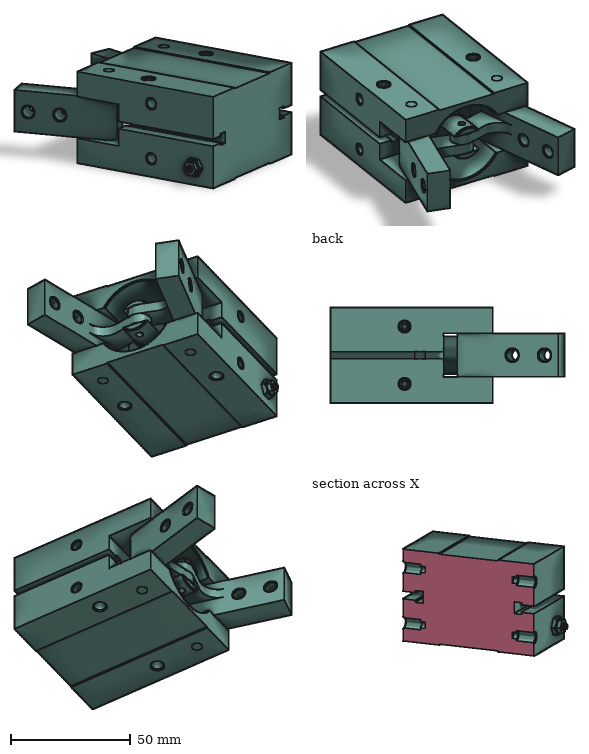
import cadquery as cq
import math


body_length = 68.0
body_width = 60.0
body_height = 40.0
top_z = body_height / 2
side_y = body_width / 2

band_depth = 0.4
band_floor_half_width = 13.2
band_rim_half_width = 13.5

finger_slot_depth = 20.7
front_bore_radius = 17.15
front_bore_chamfer = 0.5
side_groove_height = 3.1
side_groove_depth = 9.1
side_groove_lip_depth = 5.8
side_groove_inner_height = 4.9

mount_hole_x = 30.5
mount_hole_y = 22.0
mount_hole_diameter = 5.0
mount_hole_rim_diameter = 6.0
side_hole_x = 37.0
side_hole_z = 12.0
side_hole_diameter = 4.2
side_hole_rim_diameter = 5.2
side_hole_depth = 8.0
side_hole_tip_diameter = 2.5
side_hole_tip_depth = 2.0

fitting_x = 58.75
fitting_z = -12.0
base_hex_flats = 7.2
base_hex_height = 1.95
base_hex_chamfer = 0.6
upper_hex_flats = 5.4
upper_hex_height = 1.85
collar_diameter = 3.0
collar_thickness = 0.35
nipple_neck_diameter = 1.9
nipple_neck_length = 0.4
nipple_head_diameter = 2.6
nipple_tip_diameter = 2.0
nipple_head_length = 0.7
nipple_hole_diameter = 0.8

finger_angle = 15.0
finger_height = 18.2
finger_thickness = 10.0
pivot_x = 10.0
pivot_y = 21.0
pivot_pin_diameter = 4.4
pivot_to_tip = 40.0
finger_hole_tip_distances = (6.0, 20.0)
finger_hole_diameter = 5.0
finger_hole_rim_diameter = 6.0

horn_thickness = 4.6
horn_end_radius = 4.85
horn_reach = 21.9
horn_offset = 0.45
horn_fillet_radius = 7.8

rod_diameter = 16.0
rod_tip_x = -0.4
rod_tip_chamfer = 0.5
fork_diameter = 15.0
fork_end_x = 11.5
rod_cross_hole_x = 3.85
rod_cross_hole_diameter = 3.0
piston_diameter = 29.2
piston_length = 10.0


def rim_cone(hole_diameter, rim_diameter):
    """Conical cutter for a hole rim: wide at Z = 0 and narrowing downwards."""
    depth = (rim_diameter - hole_diameter) / 2
    return cq.Workplane("XZ").polyline([
        (0, 0),
        (rim_diameter / 2, 0),
        (hole_diameter / 2, -depth),
        (0, -depth),
    ]).close().revolve(360, (0, 0, 0), (0, 1, 0))


def through_hole(hole_diameter, rim_diameter, length):
    """Cutter along Z, centred on the origin, with a chamfered rim at both ends."""
    rim = rim_cone(hole_diameter, rim_diameter)
    hole = cq.Workplane("XY").circle(hole_diameter / 2).extrude(length / 2, both=True)
    upper_rim = rim.translate((0, 0, length / 2))
    return hole.union(upper_rim).union(upper_rim.mirror("XY"))


def x_cylinder(diameter, start_x, end_x):
    return cq.Workplane("YZ").workplane(offset=start_x).circle(diameter / 2).extrude(end_x - start_x)


def body_block():
    half_profile = [
        (side_y, 0),
        (side_y, top_z),
        (band_rim_half_width, top_z),
        (band_floor_half_width, top_z - band_depth),
        (-band_floor_half_width, top_z - band_depth),
        (-band_rim_half_width, top_z),
        (-side_y, top_z),
        (-side_y, 0),
    ]
    upper_half = cq.Workplane("YZ").polyline(half_profile).close().extrude(body_length)
    return upper_half.union(upper_half.mirror("XY"))


def finger_recess():
    """Full-width slot for the fingers together with the chamfered bore around the rod."""
    slot = cq.Workplane("XY").box(finger_slot_depth, body_width, finger_height, centered=(False, True, True))
    bore = x_cylinder(2 * front_bore_radius, 0, finger_slot_depth)
    rim = rim_cone(2 * front_bore_radius, 2 * (front_bore_radius + front_bore_chamfer))
    rim = rim.rotate((0, 0, 0), (0, 1, 0), -90)
    return slot.union(bore).union(rim)


def side_groove():
    """Groove along the whole -Y face, taller behind its lips."""
    lip_gap = cq.Workplane("XY").box(
        body_length, side_groove_depth, side_groove_height, centered=(False, False, True)
    )
    inner_part = cq.Workplane("XY").box(
        body_length,
        side_groove_depth - side_groove_lip_depth,
        side_groove_inner_height,
        centered=(False, False, True),
    ).translate((0, side_groove_lip_depth, 0))
    return lip_gap.union(inner_part).translate((0, -side_y, 0))


def side_hole():
    """Stepped blind cutter entering the -Y face."""
    hole = cq.Workplane("XY").circle(side_hole_diameter / 2).extrude(-side_hole_depth)
    tip_end = side_hole_depth + side_hole_tip_depth
    tip = cq.Workplane("XY").circle(side_hole_tip_diameter / 2).extrude(-tip_end)
    hole = hole.union(tip).union(rim_cone(side_hole_diameter, side_hole_rim_diameter))
    return hole.rotate((0, 0, 0), (1, 0, 0), 90).translate((side_hole_x, -side_y, 0))


def hex_prism(flats, height):
    corner_diameter = flats / math.cos(math.radians(30))
    return cq.Workplane("XY").polygon(6, corner_diameter).extrude(height)


def chamfered_hex(flats, height, chamfer):
    """Hexagonal prism on Z = 0 whose top corners are turned off."""
    corner_diameter = flats / math.cos(math.radians(30))
    turned = cq.Workplane("XY").circle(corner_diameter / 2).extrude(height)
    return hex_prism(flats, height).intersect(turned.faces(">Z").chamfer(chamfer))


def hose_nipple():
    """Hollow nipple standing on Z = 0: collar, neck and a head that tapers to its tip."""
    neck_end = collar_thickness + nipple_neck_length
    tip_end = neck_end + nipple_head_length
    bore_radius = nipple_hole_diameter / 2
    return cq.Workplane("XZ").polyline([
        (bore_radius, 0),
        (collar_diameter / 2, 0),
        (collar_diameter / 2, collar_thickness),
        (nipple_neck_diameter / 2, collar_thickness),
        (nipple_neck_diameter / 2, neck_end),
        (nipple_head_diameter / 2, neck_end),
        (nipple_tip_diameter / 2, tip_end),
        (bore_radius, tip_end),
    ]).close().revolve(360, (0, 0, 0), (0, 1, 0))


def air_fitting():
    fitting = chamfered_hex(base_hex_flats, base_hex_height, base_hex_chamfer)
    fitting = fitting.union(hex_prism(upper_hex_flats, upper_hex_height).translate((0, 0, base_hex_height)))
    fitting = fitting.union(hose_nipple().translate((0, 0, base_hex_height + upper_hex_height)))
    return fitting.rotate((0, 0, 0), (1, 0, 0), 90).translate((fitting_x, -side_y, fitting_z))


def make_housing():
    block = body_block().cut(finger_recess())
    block = block.cut(x_cylinder(piston_diameter, finger_slot_depth, finger_slot_depth + piston_length))
    mount_hole = through_hole(mount_hole_diameter, mount_hole_rim_diameter, body_height)
    pivot_hole = cq.Workplane("XY").circle(pivot_pin_diameter / 2).extrude(top_z, both=True)
    groove = side_groove()
    blind_hole = side_hole()
    for side in (-1, 1):
        block = block.cut(mount_hole.translate((mount_hole_x, side * mount_hole_y, 0)))
        block = block.cut(pivot_hole.translate((pivot_x, side * pivot_y, 0)))
        side_cuts = groove
        for level in (-1, 1):
            side_cuts = side_cuts.union(blind_hole.translate((0, 0, level * side_hole_z)))
        block = block.cut(side_cuts if side < 0 else side_cuts.mirror("XZ"))
    return block.union(air_fitting())


def finger_arm():
    """Straight arm along -X, with its pivot at the origin and its inner side toward -Y.

    The outer rear corner is rounded about the pivot; the rear end is flush with the horn.
    """
    half = finger_thickness / 2
    rear_x = horn_end_radius - horn_offset
    rear_y = math.sqrt(half ** 2 - rear_x ** 2)
    arc_angle = math.radians(60)
    arm = (
        cq.Workplane("XY")
        .moveTo(-pivot_to_tip, -half)
        .lineTo(-pivot_to_tip, half)
        .lineTo(0, half)
        .threePointArc((half * math.cos(arc_angle), half * math.sin(arc_angle)), (rear_x, rear_y))
        .lineTo(rear_x, -half)
        .close()
        .extrude(finger_height / 2, both=True)
    )
    hole = through_hole(finger_hole_diameter, finger_hole_rim_diameter, finger_thickness)
    hole = hole.rotate((0, 0, 0), (1, 0, 0), 90)
    for distance in finger_hole_tip_distances:
        arm = arm.cut(hole.translate((distance - pivot_to_tip, 0, 0)))
    return arm


def finger_horn():
    """Round-ended lever below mid-height, blended into the inner side of the arm."""
    inner_y = -finger_thickness / 2
    front_x = -horn_offset - horn_end_radius
    rear_x = -horn_offset + horn_end_radius
    blend = horn_fillet_radius
    blend_mid = blend * (1 - math.sqrt(0.5))
    return (
        cq.Workplane("XY")
        .moveTo(rear_x, 0)
        .lineTo(rear_x, -horn_reach)
        .threePointArc((-horn_offset, -horn_reach - horn_end_radius), (front_x, -horn_reach))
        .lineTo(front_x, inner_y - blend)
        .threePointArc((front_x - blend_mid, inner_y - blend_mid), (front_x - blend, inner_y))
        .lineTo(front_x - blend, 0)
        .close()
        .extrude(-horn_thickness)
    )


def make_finger():
    """Finger on the +Y side, opened by its angle, in one piece with its pivot pin."""
    pin = cq.Workplane("XY").circle(pivot_pin_diameter / 2).extrude(top_z, both=True)
    finger = finger_arm().union(finger_horn()).union(pin)
    finger = finger.rotate((0, 0, 0), (0, 0, 1), -finger_angle)
    return finger.translate((pivot_x, pivot_y, 0))


def make_rod():
    """Rod with a slimmer fork and a cross hole through its lobes, in one piece with its piston."""
    fork = x_cylinder(fork_diameter, rod_tip_x, fork_end_x).faces("<X").chamfer(rod_tip_chamfer)
    slot = cq.Workplane("XY").box(
        fork_end_x - rod_tip_x, fork_diameter, 2 * horn_thickness, centered=(False, True, True)
    ).translate((rod_tip_x, 0, 0))
    cross_hole = cq.Workplane("XY").circle(rod_cross_hole_diameter / 2).extrude(fork_diameter / 2, both=True)
    cross_hole = cross_hole.translate((rod_cross_hole_x, 0, 0))
    fork = fork.cut(slot).cut(cross_hole)
    shank = x_cylinder(rod_diameter, fork_end_x, finger_slot_depth)
    shank = shank.faces("<X").chamfer((rod_diameter - fork_diameter) / 2)
    piston = x_cylinder(piston_diameter, finger_slot_depth, finger_slot_depth + piston_length)
    return fork.union(shank).union(piston)


housing = make_housing()
rod = make_rod()
fingers = [make_finger().rotate((0, 0, 0), (1, 0, 0), turn) for turn in (0, 180)]

result = cq.Compound.makeCompound([housing.val(), rod.val(), *[finger.val() for finger in fingers]])